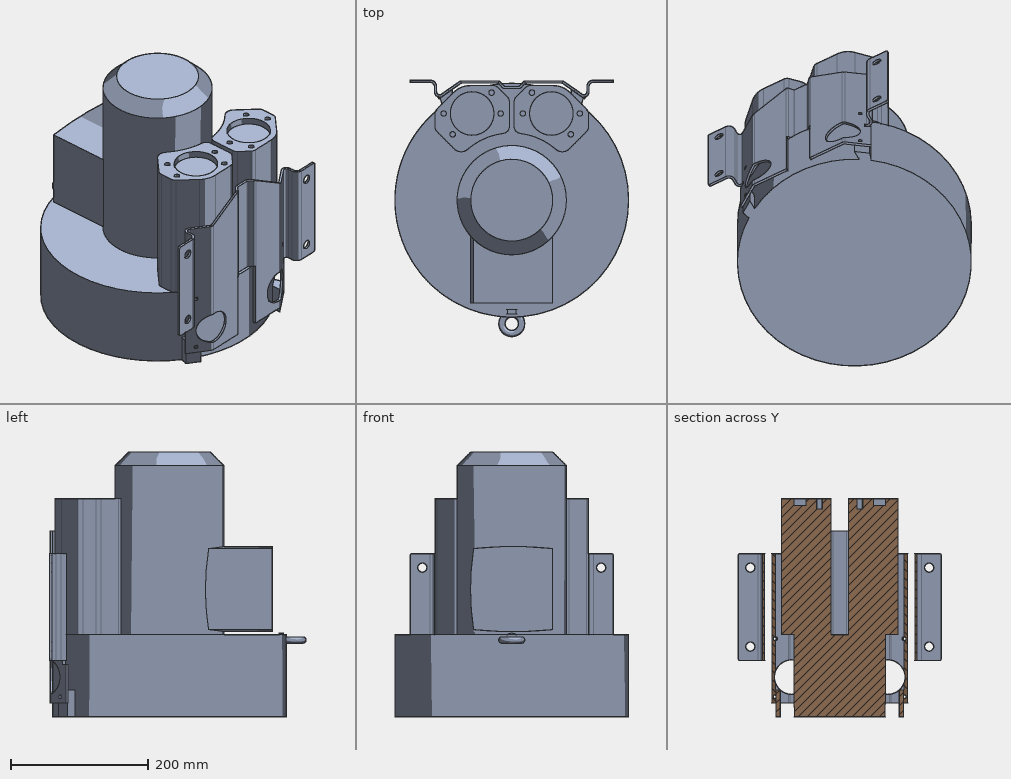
import cadquery as cq
import math

casing_radius = 170.35
casing_height = 120.0

motor_radius = 79.6
motor_top = 386.0
motor_chamfer = 20.0

box_front_y = -150.0
box_left = -55.5
box_right = 59.5
box_centre_z = 186.2
box_corner_half_height = 59.0
box_end_bulge = 3.0
box_left_bulge = 4.5

silencer_top = 318.0
silencer_inner_x = 3.5
silencer_outer_x = 111.7
silencer_back_y = 167.0
silencer_side_low_y = 102.6
silencer_side_high_y = 130.0
silencer_inner_chamfer = 19.5
silencer_motor_recess_radius = 98.0
silencer_edge_radius = 10.0
silencer_tip_radius = 14.0
silencer_back_radius = 34.0
port_x = 57.7
port_y = 126.2
port_radius = 31.7
port_depth = 10.0
bolt_circle_radius = 41.5
bolt_hole_diameter = 8.0
bolt_hole_depth = 15.0
bolt_angles = (0, 47, 180, 227)

plate_thickness = 3.5
plate_back_y = casing_radius + plate_thickness / 2
flange_back_y = 174.92
flange_y = flange_back_y - plate_thickness / 2
flange_end_x = 148.0
web_x = 111.0
web_foot_y = 146.2
slope_top_x = 74.2
dish_edge_x = 19.0
dish_floor_x = 11.5
dish_floor_y = 164.0
flange_bend_radius = 8.0
wing_bend_radius = 6.0
dish_bend_radius = 3.0
wing_bottom = 82.0
wing_top = 238.0
plate_bottom = 20.0
plate_top = 271.0
plate_corner_radius = 3.0
tab_end_x = 107.0
relief_x = 100.0
relief_height = 5.5
wing_hole_x = 130.2
wing_hole_diameter = 13.0
wing_hole_spacing = 115.0
window_x = 70.0
window_z = 58.0
window_radius = 25.0
screw_hole_x = 94.0
screw_hole_heights = (29.4, 114.0)
screw_hole_diameter = 5.5

foot_height = 39.5
foot_inner_x = 86.3
foot_outer_x = 104.5
foot_root_x = 101.0
foot_root_y = 137.4

eye_y = -180.0
eye_z = 112.0
eye_tube_radius = 4.75
overall_depth = 373.92
eye_outer_reach = overall_depth - flange_back_y
eye_ring_radius = eye_outer_reach + eye_y - eye_tube_radius
collar_radius = 10.0
collar_front_y = -166.0
collar_back_y = -159.5

def unit(start, end):
    length = math.dist(start, end)
    return ((end[0] - start[0]) / length, (end[1] - start[1]) / length)


def rounded_outline(corners):
    """Closed XY outline through (x, y, radius) corners; radius 0 keeps the corner sharp."""
    count = len(corners)
    stops = []
    for i, (x, y, radius) in enumerate(corners):
        before = unit((x, y), corners[i - 1][:2])
        after = unit((x, y), corners[(i + 1) % count][:2])
        if radius == 0:
            stops.append(((x, y), None, (x, y)))
            continue
        half_angle = math.acos(before[0] * after[0] + before[1] * after[1]) / 2
        reach = radius / math.tan(half_angle)
        middle = unit((0, 0), (before[0] + after[0], before[1] + after[1]))
        depth = radius / math.sin(half_angle) - radius
        stops.append((
            (x + before[0] * reach, y + before[1] * reach),
            (x + middle[0] * depth, y + middle[1] * depth),
            (x + after[0] * reach, y + after[1] * reach),
        ))
    outline = cq.Workplane("XY").moveTo(*stops[0][2])
    for entry, arc_middle, leave in stops[1:] + stops[:1]:
        outline = outline.lineTo(*entry)
        if arc_middle:
            outline = outline.threePointArc(arc_middle, leave)
    return outline.close()


def bent_strip(path, bottom, top):
    """Upright sheet of plate thickness along a path of (x, y, bend radius) points."""
    half = plate_thickness / 2
    left = []
    right = []
    for i, (x, y, radius) in enumerate(path):
        into = unit(path[i - 1][:2], (x, y)) if i > 0 else unit((x, y), path[1][:2])
        out = unit((x, y), path[i + 1][:2]) if i + 1 < len(path) else into
        mitre = 1 + into[0] * out[0] + into[1] * out[1]
        shift_x = -(into[1] + out[1]) * half / mitre
        shift_y = (into[0] + out[0]) * half / mitre
        turn = math.copysign(half, into[0] * out[1] - into[1] * out[0])
        left.append((x + shift_x, y + shift_y, radius - turn if radius else 0))
        right.append((x - shift_x, y - shift_y, radius + turn if radius else 0))
    strip = rounded_outline(left + right[::-1]).extrude(top - bottom)
    return strip.translate((0, 0, bottom))


def mirrored_path(half_path):
    """Path from -X to +X made from its -X half."""
    return half_path + [(-x, y, radius) for x, y, radius in reversed(half_path)]


def both_sides(solid):
    """The solid together with its mirror image across X = 0."""
    return solid.union(solid.mirror("YZ"))


def upright_box(x_min, x_max, z_min, z_max):
    """Box through the whole depth of the bracket."""
    depth = 2 * casing_radius
    box = cq.Workplane("XY").box(x_max - x_min, depth, z_max - z_min, centered=False)
    return box.translate((x_min, 0, z_min))


def bar_along_y(x, z, radius, y_min, y_max):
    bar = cq.Solid.makeCylinder(radius, y_max - y_min, cq.Vector(x, y_min, z), cq.Vector(0, 1, 0))
    return cq.Workplane(obj=bar)


slope_rise = (plate_back_y - web_foot_y) / (web_x - slope_top_x)
slope_angle = math.degrees(math.atan(slope_rise))


def slope_y(x):
    """Y of the middle of the sloped plate at distance x from the centre plane."""
    return web_foot_y + (web_x - x) * slope_rise


def make_eye_bolt():
    ring = cq.Solid.makeTorus(eye_ring_radius, eye_tube_radius, cq.Vector(0, eye_y, eye_z))
    collar = bar_along_y(0, eye_z, collar_radius, collar_front_y, collar_back_y)
    return collar.union(cq.Workplane(obj=ring))


def make_motor():
    motor = cq.Workplane("XY").circle(motor_radius).extrude(motor_top)
    return motor.faces(">Z").chamfer(motor_chamfer)


def make_terminal_box():
    z_low = box_centre_z - box_corner_half_height
    z_high = box_centre_z + box_corner_half_height
    middle_x = (box_left + box_right) / 2
    return (
        cq.Workplane("XZ")
        .moveTo(box_right, z_low)
        .lineTo(box_right, z_high)
        .threePointArc((middle_x, z_high + box_end_bulge), (box_left, z_high))
        .threePointArc((box_left - box_left_bulge, box_centre_z), (box_left, z_low))
        .threePointArc((middle_x, z_low - box_end_bulge), (box_right, z_low))
        .close()
        .extrude(-box_front_y)
    )


def make_silencer():
    """Silencer column on the -X side, with a blind port and bolt holes in its top."""
    slant = silencer_back_y - silencer_side_high_y
    diagonal_end_y = silencer_side_low_y - (silencer_outer_x - silencer_inner_x)
    column = rounded_outline([
        (-silencer_outer_x, silencer_side_low_y, silencer_edge_radius),
        (-silencer_outer_x, silencer_side_high_y, silencer_edge_radius),
        (-silencer_outer_x + slant, silencer_back_y, silencer_back_radius),
        (-silencer_inner_x - silencer_inner_chamfer, silencer_back_y, silencer_edge_radius),
        (-silencer_inner_x, silencer_back_y - silencer_inner_chamfer, silencer_edge_radius),
        (-silencer_inner_x, diagonal_end_y, 0),
    ]).extrude(silencer_top - casing_height)
    recess = cq.Workplane("XY").circle(silencer_motor_recess_radius).extrude(silencer_top)
    column = column.cut(recess)
    column = column.edges("|Z").edges("<Y").fillet(silencer_tip_radius)
    inner_recess_edge = cq.selectors.NearestToPointSelector(
        (-silencer_inner_x, silencer_motor_recess_radius, (silencer_top - casing_height) / 2)
    )
    column = column.edges("|Z").edges(inner_recess_edge).fillet(silencer_edge_radius)
    column = column.translate((0, 0, casing_height))

    top = cq.Workplane("XY", origin=(-port_x, port_y, silencer_top))
    column = column.cut(top.circle(port_radius).extrude(-port_depth))
    for angle in bolt_angles:
        x = bolt_circle_radius * math.cos(math.radians(angle))
        y = bolt_circle_radius * math.sin(math.radians(angle))
        hole = top.center(x, y).circle(bolt_hole_diameter / 2).extrude(-bolt_hole_depth)
        column = column.cut(hole)
    return column


def make_foot():
    """Pad on the -X side whose back lies against the inner face of the sloped plate."""
    inner_face_offset = plate_thickness / 2 / math.cos(math.radians(slope_angle))
    return (
        cq.Workplane("XY")
        .moveTo(-foot_root_x, foot_root_y)
        .lineTo(-foot_outer_x, slope_y(foot_outer_x) - inner_face_offset)
        .lineTo(-foot_inner_x, slope_y(foot_inner_x) - inner_face_offset)
        .lineTo(-foot_inner_x, foot_root_y)
        .close()
        .extrude(foot_height)
    )


def make_housing(eye_bolt):
    housing = cq.Workplane("XY").circle(casing_radius).extrude(casing_height)
    housing = housing.union(make_motor()).union(make_terminal_box())
    housing = housing.union(both_sides(make_foot()))
    silencer = make_silencer()
    housing = housing.union(silencer).union(silencer.mirror("YZ"))
    return housing.cut(eye_bolt)


def make_bracket():
    centre = [
        (-slope_top_x, plate_back_y, wing_bend_radius),
        (-dish_edge_x, plate_back_y, dish_bend_radius),
        (-dish_floor_x, dish_floor_y, dish_bend_radius),
    ]
    wing = [
        (-flange_end_x, flange_y, 0),
        (-web_x, flange_y, flange_bend_radius),
        (-web_x, web_foot_y, wing_bend_radius),
    ]
    tab_end = [(-tab_end_x, slope_y(tab_end_x), 0)]

    band = bent_strip(mirrored_path(wing + centre), wing_bottom, wing_top)
    band = band.edges("|Y").edges("<X or >X").fillet(plate_corner_radius)

    tall = bent_strip(mirrored_path(tab_end + centre), plate_bottom, plate_top)
    tongue_shape = (
        cq.Workplane("XZ")
        .polyline([
            (-slope_top_x, wing_bottom),
            (-slope_top_x, wing_top),
            (-dish_edge_x, plate_top),
            (dish_edge_x, plate_top),
            (slope_top_x, wing_top),
            (slope_top_x, wing_bottom),
        ])
        .close()
        .extrude(-2 * casing_radius)
    )
    tongue = tall.intersect(tongue_shape)
    tabs = tall.intersect(upright_box(-flange_end_x, flange_end_x, plate_bottom, wing_bottom))
    relief = upright_box(-flange_end_x, -relief_x, wing_bottom - relief_height, wing_bottom)
    tabs = tabs.cut(both_sides(relief))
    bracket = band.union(tongue).union(tabs)

    bracket = bracket.cut(upright_box(-dish_edge_x, dish_edge_x, 0, casing_height))

    wing_centre_z = (wing_bottom + wing_top) / 2
    for side in (-1, 1):
        for end in (-1, 1):
            hole_z = wing_centre_z + end * wing_hole_spacing / 2
            hole = bar_along_y(side * wing_hole_x, hole_z, wing_hole_diameter / 2, 0, 2 * casing_radius)
            bracket = bracket.cut(hole)
        window = bar_along_y(side * window_x, window_z, window_radius, 0, 2 * casing_radius)
        bracket = bracket.cut(window)
        for z in screw_hole_heights:
            screw_hole = bar_along_y(0, z, screw_hole_diameter / 2, -plate_thickness, plate_thickness)
            screw_hole = screw_hole.rotate((0, 0, 0), (0, 0, 1), -side * slope_angle)
            bracket = bracket.cut(screw_hole.translate((side * screw_hole_x, slope_y(screw_hole_x), 0)))
    return bracket


eye_bolt = make_eye_bolt()
housing = make_housing(eye_bolt)
bracket = make_bracket()

result = cq.Compound.makeCompound([
    housing.solids().val(),
    bracket.solids().val(),
    eye_bolt.solids().val(),
])